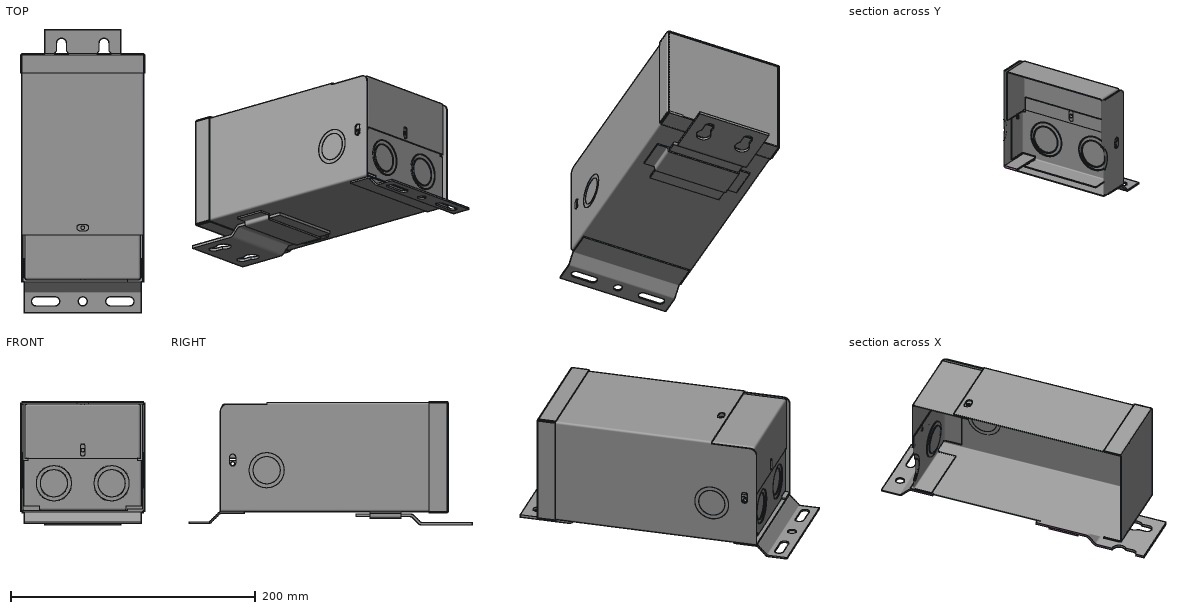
import cadquery as cq
import math


HOUSING_SHEET = 1.2
PANEL_SHEET = 0.9
CAP_SHEET = 1.0
BEND = 1.9
CAP_CORNER_NOTCH = 1.5

HOUSING_WIDTH = 100.0
HOUSING_HEIGHT = 89.5
HOUSING_LENGTH = 186.0
OPENING_LENGTH = 38.3
SIDE_TOP = 88.0
SIDE_CORNER_RADIUS = 5.5
HALF_INSIDE = HOUSING_WIDTH / 2 - HOUSING_SHEET
SEAM_INNER_X = 36.7

SLOT_LENGTH = 9.7
WIDE_SLOT = 5.0
NARROW_SLOT = 4.0
SCREW_HOLE = 3.0
TOP_SCREW_Y = OPENING_LENGTH + 6.0
SIDE_SCREW_Y = 10.2
SIDE_SLOT_Z = 42.5
SIDE_HOLE_Z = 39.5
FRONT_SCREW_Z = 50.5

KNOCKOUT_RADII = (14.5, 11.1)
SIDE_KNOCKOUT_STEP = 0.2
FRONT_KNOCKOUT_STEP = 1.0
FRONT_KNOCKOUT_RIM = 0.7
SIDE_KNOCKOUT_Y = 38.0
SIDE_KNOCKOUT_Z = 34.0
FRONT_KNOCKOUT_X = 23.7
FRONT_KNOCKOUT_Z = 23.5

CAP_LENGTH = 15.8
CAP_REAR_Y = HOUSING_LENGTH + CAP_SHEET

DOOR_FRONT_Y = 1.6
DOOR_WIDTH = 94.7
DOOR_BOTTOM = 43.9
DOOR_CLEARANCE = 0.2
DOOR_TOP = HOUSING_HEIGHT - HOUSING_SHEET - DOOR_CLEARANCE
DOOR_REAR_Y = 51.0

PANEL_FRONT_Y = DOOR_FRONT_Y + HOUSING_SHEET
PANEL_WIDTH = 96.5
PANEL_TOP = 42.2
PANEL_FLANGE = 16.2
TONGUE_WIDTH = 90.0
TONGUE_TOP = 55.7
NOTCH_INNER_X = 35.3
NOTCH_TOP = 4.6

FOOT_WIDTH = 95.8
FOOT_SHEET = 1.5
FOOT_INNER_BEND = 0.7
FOOT_REAR_Y = 19.7
FOOT_FRONT_Y = -25.5
FOOT_DROP = 8.1
FOOT_BEND_Y = -0.7
FOOT_HOLE_Y = -16.0
FOOT_HOLE = 7.2
FOOT_SLOT_LENGTH = 23.0
FOOT_SLOT_X = 30.5

BRACKET_WIDTH = 62.5
BRACKET_SHEET = 2.3
BRACKET_INNER_BEND = 2.3
BRACKET_TOP = -1.6
BRACKET_DROP = 7.0
BRACKET_FRONT_Y = 111.2
BRACKET_BEND_Y = 157.3
BRACKET_REAR_Y = 206.5
KEYHOLE_X = 17.5
KEYHOLE_SLOT = 8.0
KEYHOLE_SLOT_END = 199.3
KEYHOLE_R = 6.0
KEYHOLE_Y = 184.5

STRAP_FRONT_Y = 122.5
STRAP_LENGTH = 25.5
STRAP_SHEET = 1.5
STRAP_FLANGE = 9.3
STRAP_OUTER_BEND = 1.9
STRAP_INNER_BEND = 0.7


def block(width, y0, y1, z0, z1):
    """Box centred on X between the given Y and Z limits."""
    corner = cq.Workplane("XY", origin=(0, y0, z0))
    return corner.box(width, y1 - y0, z1 - z0, centered=(True, False, False))


def side_plane():
    """YZ sketch plane at X = 0, with local x along +Y and local y along +Z."""
    return cq.Workplane("YZ")


def front_plane(y):
    """Sketch plane at the given Y, facing the front, with local y along +Z."""
    return cq.Workplane("XZ", origin=(0, y, 0))


def joggled_strip(points, miter_direction, sheet, inner_radius, width):
    """Strip with two 45 degree bends; `points` run along its upper face, ordered by rising Y.

    `miter_direction` is +1 where the strip rises along +Y and -1 where it falls.
    """
    miter = sheet * math.tan(math.radians(22.5))
    shifts = [0, miter_direction * miter, miter_direction * miter, 0]
    lower = [(y + shift, z - sheet) for (y, z), shift in zip(points, shifts)]
    strip = side_plane().polyline(points + lower[::-1]).close().extrude(width / 2, both=True)
    for (upper_y, upper_z), (lower_y, lower_z) in zip(points[1:3], lower[1:3]):
        upper_is_outside = upper_z == max(z for _, z in points)
        upper_radius = inner_radius + sheet if upper_is_outside else inner_radius
        lower_radius = inner_radius if upper_is_outside else inner_radius + sheet
        for y, z, radius in ((upper_y, upper_z, upper_radius), (lower_y, lower_z, lower_radius)):
            strip = strip.edges(cq.selectors.NearestToPointSelector((0, y, z))).fillet(radius)
    return strip


def make_housing():
    """Folded tube with an open top front, slots and side knockouts."""
    tube = block(HOUSING_WIDTH, 0, HOUSING_LENGTH, 0, HOUSING_HEIGHT).edges("|Y").fillet(BEND)
    bore = block(2 * HALF_INSIDE, 0, HOUSING_LENGTH, HOUSING_SHEET, HOUSING_HEIGHT - HOUSING_SHEET)
    tube = tube.cut(bore.edges("|Y").fillet(BEND - HOUSING_SHEET))
    corner_mid = SIDE_CORNER_RADIUS * (1 - math.sqrt(0.5))
    profile = (
        side_plane()
        .lineTo(0, SIDE_TOP - SIDE_CORNER_RADIUS)
        .threePointArc((corner_mid, SIDE_TOP - corner_mid), (SIDE_CORNER_RADIUS, SIDE_TOP))
        .lineTo(OPENING_LENGTH, SIDE_TOP)
        .lineTo(OPENING_LENGTH, HOUSING_HEIGHT)
        .lineTo(HOUSING_LENGTH, HOUSING_HEIGHT)
        .lineTo(HOUSING_LENGTH, 0)
        .close()
        .extrude(HOUSING_WIDTH / 2, both=True)
    )
    housing = tube.intersect(profile)

    top_slot = (
        cq.Workplane("XY", origin=(0, TOP_SCREW_Y, HOUSING_HEIGHT - HOUSING_SHEET))
        .slot2D(SLOT_LENGTH, WIDE_SLOT)
        .extrude(HOUSING_SHEET)
    )
    side_slots = (
        side_plane().center(SIDE_SCREW_Y, SIDE_SLOT_Z).slot2D(SLOT_LENGTH, WIDE_SLOT, 90)
        .extrude(HOUSING_WIDTH / 2, both=True)
    )
    housing = housing.cut(top_slot).cut(side_slots)

    seam_width = HALF_INSIDE - SEAM_INNER_X
    seam = block(seam_width, 0, HOUSING_LENGTH, HOUSING_SHEET, 2 * HOUSING_SHEET)
    housing = housing.union(seam.translate((SEAM_INNER_X + seam_width / 2, 0, 0)))

    for side in (-1, 1):
        for level, radius in enumerate(KNOCKOUT_RADII, start=1):
            recess = (
                side_plane().workplane(offset=side * HOUSING_WIDTH / 2)
                .center(SIDE_KNOCKOUT_Y, SIDE_KNOCKOUT_Z).circle(radius)
                .extrude(-side * level * SIDE_KNOCKOUT_STEP)
            )
            housing = housing.cut(recess)
    return housing


def make_cap():
    """Rear cover whose four lips are folded over the housing and left open at the corners."""
    width = HOUSING_WIDTH + 2 * CAP_SHEET
    front = CAP_REAR_Y - CAP_LENGTH
    top = HOUSING_HEIGHT + CAP_SHEET
    cap = block(width, front, CAP_REAR_Y, -CAP_SHEET, top).faces(">Y").edges().fillet(BEND)
    cap = cap.cut(block(HOUSING_WIDTH, front, HOUSING_LENGTH, 0, HOUSING_HEIGHT))
    notch_x = (width - CAP_CORNER_NOTCH) / 2
    for x in (-notch_x, notch_x):
        for z in (-CAP_SHEET, top - CAP_CORNER_NOTCH):
            notch = block(CAP_CORNER_NOTCH, front, CAP_REAR_Y, z, z + CAP_CORNER_NOTCH)
            cap = cap.cut(notch.translate((x, 0, 0)))
    return cap


def make_door():
    """Folded door: front, top and side flanges, with its top end tucked under the housing."""
    door = block(DOOR_WIDTH, DOOR_FRONT_Y, DOOR_REAR_Y, DOOR_BOTTOM, DOOR_TOP)
    door = door.edges("|Z and <Y").fillet(BEND)
    door = door.faces(">Z").edges("not >Y").fillet(BEND)
    door = door.faces(">Y or <Z").shell(-HOUSING_SHEET)
    slot = (
        front_plane(DOOR_FRONT_Y).center(0, FRONT_SCREW_Z)
        .slot2D(SLOT_LENGTH, NARROW_SLOT, 90).extrude(-HOUSING_SHEET)
    )
    hole = cq.Workplane("XY", origin=(0, TOP_SCREW_Y, DOOR_TOP)).circle(SCREW_HOLE / 2).extrude(-HOUSING_SHEET)
    return door.cut(slot).cut(hole)


def press_knockout(panel, x):
    """Press two concentric discs into the front panel, each one step deeper than the metal around it."""
    centre = front_plane(PANEL_FRONT_Y).center(x, FRONT_KNOCKOUT_Z)
    for level, radius in enumerate(KNOCKOUT_RADII, start=1):
        depth = level * FRONT_KNOCKOUT_STEP
        panel = panel.union(centre.circle(radius + FRONT_KNOCKOUT_RIM).extrude(-depth - PANEL_SHEET))
    for level, radius in enumerate(KNOCKOUT_RADII, start=1):
        panel = panel.cut(centre.circle(radius).extrude(-level * FRONT_KNOCKOUT_STEP))
    return panel


def make_front_panel():
    """Panel under the door: side and bottom flanges, tongue behind the door, two knockouts."""
    rear = PANEL_FRONT_Y + PANEL_FLANGE
    panel = block(PANEL_WIDTH, PANEL_FRONT_Y, rear, HOUSING_SHEET, PANEL_TOP)
    panel = panel.edges("|Z and <Y").fillet(BEND)
    panel = panel.faces("<Z").edges("not >Y").fillet(BEND)
    panel = panel.faces(">Y or >Z").shell(-PANEL_SHEET)
    tongue = block(TONGUE_WIDTH, PANEL_FRONT_Y, PANEL_FRONT_Y + PANEL_SHEET, PANEL_TOP, TONGUE_TOP)
    panel = panel.union(tongue)

    notch_width = PANEL_WIDTH / 2 - NOTCH_INNER_X
    for side in (-1, 1):
        notch = block(notch_width, PANEL_FRONT_Y, rear, 0, NOTCH_TOP)
        panel = panel.cut(notch.translate((side * (NOTCH_INNER_X + notch_width / 2), 0, 0)))
        panel = press_knockout(panel, side * FRONT_KNOCKOUT_X)

    front_hole = (
        front_plane(PANEL_FRONT_Y).center(0, FRONT_SCREW_Z).circle(SCREW_HOLE / 2)
        .extrude(-PANEL_SHEET)
    )
    side_holes = (
        side_plane().center(SIDE_SCREW_Y, SIDE_HOLE_Z).circle(SCREW_HOLE / 2)
        .extrude(PANEL_WIDTH / 2, both=True)
    )
    return panel.cut(front_hole).cut(side_holes)


def make_foot():
    """Front mounting foot with a round hole between two slots."""
    points = [
        (FOOT_FRONT_Y, -FOOT_DROP),
        (FOOT_BEND_Y - FOOT_DROP, -FOOT_DROP),
        (FOOT_BEND_Y, 0),
        (FOOT_REAR_Y, 0),
    ]
    foot = joggled_strip(points, 1, FOOT_SHEET, FOOT_INNER_BEND, FOOT_WIDTH)
    face = cq.Workplane("XY", origin=(0, FOOT_HOLE_Y, -FOOT_DROP))
    hole = face.circle(FOOT_HOLE / 2).extrude(-FOOT_SHEET)
    slots = (
        face.pushPoints([(-FOOT_SLOT_X, 0), (FOOT_SLOT_X, 0)])
        .slot2D(FOOT_SLOT_LENGTH, FOOT_HOLE).extrude(-FOOT_SHEET)
    )
    return foot.cut(hole).cut(slots)


def make_rear_bracket():
    """Rear mounting bracket with two keyholes."""
    low = BRACKET_TOP - BRACKET_DROP
    points = [
        (BRACKET_FRONT_Y, BRACKET_TOP),
        (BRACKET_BEND_Y, BRACKET_TOP),
        (BRACKET_BEND_Y + BRACKET_DROP, low),
        (BRACKET_REAR_Y, low),
    ]
    bracket = joggled_strip(points, -1, BRACKET_SHEET, BRACKET_INNER_BEND, BRACKET_WIDTH)
    slot_top = KEYHOLE_SLOT_END - KEYHOLE_SLOT / 2
    for x in (-KEYHOLE_X, KEYHOLE_X):
        face = cq.Workplane("XY", origin=(x, 0, low))
        slot = (
            face.center(0, (KEYHOLE_Y + slot_top) / 2)
            .slot2D(slot_top - KEYHOLE_Y + KEYHOLE_SLOT, KEYHOLE_SLOT, 90).extrude(-BRACKET_SHEET)
        )
        entry = face.center(0, KEYHOLE_Y).circle(KEYHOLE_R).extrude(-BRACKET_SHEET)
        bracket = bracket.cut(slot).cut(entry)
    return bracket


def make_strap():
    """Hat-shaped strap under the housing that wraps the rear bracket."""
    rear = STRAP_FRONT_Y + STRAP_LENGTH
    bottom = BRACKET_TOP - BRACKET_SHEET - STRAP_SHEET
    hat_width = BRACKET_WIDTH + 2 * STRAP_SHEET
    hat = block(hat_width, STRAP_FRONT_Y, rear, bottom, 0).edges("|Y and <Z").fillet(STRAP_OUTER_BEND)
    flanges = block(hat_width + 2 * STRAP_FLANGE, STRAP_FRONT_Y, rear, -STRAP_SHEET, 0)
    tunnel = block(BRACKET_WIDTH, STRAP_FRONT_Y, rear, BRACKET_TOP - BRACKET_SHEET, 0)
    strap = hat.union(flanges)
    mid_y = STRAP_FRONT_Y + STRAP_LENGTH / 2
    for x in (-hat_width / 2, hat_width / 2):
        inner_corner = cq.selectors.NearestToPointSelector((x, mid_y, -STRAP_SHEET))
        strap = strap.edges(inner_corner).fillet(STRAP_INNER_BEND)
    return strap.cut(tunnel)


housing = make_housing()
cap = make_cap()
door = make_door()
front_panel = make_front_panel()
foot = make_foot()
rear_bracket = make_rear_bracket()
strap = make_strap()

result = cq.Compound.makeCompound([
    housing.solids().val(),
    cap.solids().val(),
    door.solids().val(),
    front_panel.solids().val(),
    foot.solids().val(),
    rear_bracket.solids().val(),
    strap.solids().val(),
])